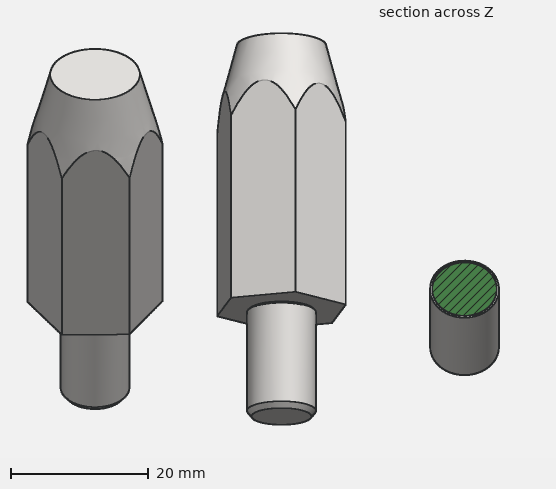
import cadquery as cq
import math

total_length = 56.0
stud_length = 16.0
stud_diameter = 10.0
stud_chamfer_height = 0.85
stud_chamfer_width = 0.7
neck_diameter = 9.4
neck_height = 0.3
across_flats = 17.0
corner_diameter = 19.6
tip_diameter = 13.0
taper_angle = 15.0

body_length = total_length - stud_length
taper_length = (corner_diameter - tip_diameter) / 2 / math.tan(math.radians(taper_angle))


def hexagonal_body():
    """Hexagon with corners on the X axis, trimmed by a cylinder with a tapered end."""
    across_corners = across_flats / math.cos(math.radians(30))
    hexagon = (
        cq.Workplane("XY")
        .workplane(offset=stud_length)
        .polygon(6, across_corners)
        .extrude(body_length)
    )
    turned_envelope = (
        cq.Workplane("XZ")
        .moveTo(0, stud_length)
        .lineTo(corner_diameter / 2, stud_length)
        .lineTo(corner_diameter / 2, total_length - taper_length)
        .lineTo(tip_diameter / 2, total_length)
        .lineTo(0, total_length)
        .close()
        .revolve(360, (0, 0), (0, 1))
    )
    return hexagon.intersect(turned_envelope)


def stud():
    """Round stud with a chamfered lower end and a narrow neck under the body."""
    shank_length = stud_length - neck_height
    shank = (
        cq.Workplane("XY")
        .circle(stud_diameter / 2)
        .extrude(shank_length)
        .faces("<Z")
        .chamfer(stud_chamfer_height, stud_chamfer_width)
    )
    neck = (
        cq.Workplane("XY")
        .workplane(offset=shank_length)
        .circle(neck_diameter / 2)
        .extrude(neck_height)
    )
    return shank.union(neck)


result = hexagonal_body().union(stud())